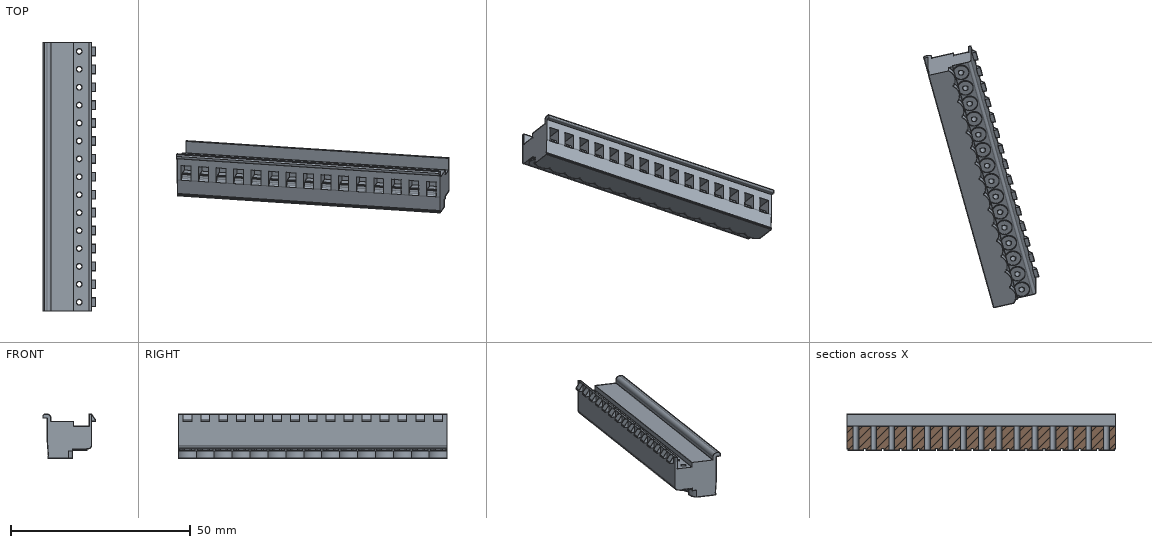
import cadquery as cq
import math

length = 75.0
height = 12.4
poles = 15
pitch = length / poles

lip_x = 1.35
lip_chamfer_width = 0.1
lip_chamfer_height = 0.2
lip_straight_top_z = 0.45
lip_height = 0.7
taper_bottom_x = 1.5
taper_top_z = 4.7
left_wall_x = 1.2
hook_thickness = 1.1
hook_right_x = 2.25
hook_top_chamfer = 0.4
hook_bottom_radius = 0.2
upper_ledge_z = 10.35
ledge_step_x = 8.55
lower_ledge_z = 9.0
right_wall_inner_x = 12.9
right_wall_outer_x = 13.6
underside_z = 2.7
underside_corner_radius = 0.9
foot_front_x = 8.3
hook_bottom_z = height - hook_thickness
hook_arc_start_x = hook_right_x - hook_thickness

scallop_top_z = 2.0
scallop_depth = 1.1
scallop_valley_x = foot_front_x - scallop_depth

hole_x = 10.1
hole_diameter = 1.5
boss_diameter = 4.35
boss_bottom_z = 2.25

latch_tip_x = 14.7
latch_width = 2.5
latch_bottom_z = 10.35
latch_tip_z = 10.7

window_width = 2.8
window_top_z = 9.0
window_depth = 4.5
sill_depth = 0.7
sill_angle = 26.0
curve_end_depth = 1.0
curve_top_z = 5.4
ramp_end_depth = 1.1
ramp_top_z = 6.1
step_depth = 1.8
step_top_z = 6.3
mouth_clearance = 0.75
mouth_x = left_wall_x - mouth_clearance


def pole_positions():
    return [-length / 2 + pitch * (i + 0.5) for i in range(poles)]


def prism(outline, y_center, width):
    """Extrude a closed XZ outline along Y, centred on y_center."""
    solid = outline.extrude(width / 2, both=True)
    return solid.translate((0, y_center, 0))


def make_body():
    """Constant cross-section: foot, left wall with hook, ledges and right wall."""
    outline = (
        cq.Workplane("XZ")
        .moveTo(lip_x + lip_chamfer_width, 0)
        .lineTo(lip_x, lip_chamfer_height)
        .lineTo(lip_x, lip_straight_top_z)
        .lineTo(taper_bottom_x, lip_height)
        .lineTo(left_wall_x, taper_top_z)
        .lineTo(left_wall_x, hook_bottom_z)
        .lineTo(hook_bottom_radius, hook_bottom_z)
        .radiusArc((0, hook_bottom_z + hook_bottom_radius), hook_bottom_radius)
        .lineTo(0, height - hook_top_chamfer)
        .lineTo(hook_top_chamfer, height)
        .lineTo(hook_arc_start_x, height)
        .radiusArc((hook_right_x, hook_bottom_z), hook_thickness)
        .lineTo(hook_right_x, upper_ledge_z)
        .lineTo(ledge_step_x, upper_ledge_z)
        .lineTo(ledge_step_x, lower_ledge_z)
        .lineTo(right_wall_inner_x, lower_ledge_z)
        .lineTo(right_wall_inner_x, height)
        .lineTo(right_wall_outer_x, height)
        .lineTo(right_wall_outer_x, underside_z + underside_corner_radius)
        .radiusArc((right_wall_outer_x - underside_corner_radius, underside_z), underside_corner_radius)
        .lineTo(foot_front_x, underside_z)
        .lineTo(foot_front_x, scallop_top_z)
        .lineTo(scallop_valley_x, scallop_top_z)
        .lineTo(scallop_valley_x, 0)
        .close()
    )
    return prism(outline, 0, length)


def make_scallop(y):
    """Rounded bulge of the foot below one pole."""
    return (
        cq.Workplane("XY")
        .moveTo(scallop_valley_x, y - pitch / 2)
        .threePointArc((foot_front_x, y), (scallop_valley_x, y + pitch / 2))
        .close()
        .extrude(scallop_top_z)
    )


def make_boss(y):
    base = cq.Workplane("XY", origin=(hole_x, y, boss_bottom_z))
    return base.circle(boss_diameter / 2).extrude(underside_z - boss_bottom_z)


def make_latch(y):
    corners = [
        (right_wall_inner_x, height),
        (right_wall_outer_x, height),
        (latch_tip_x, latch_tip_z),
        (latch_tip_x, latch_bottom_z),
        (right_wall_inner_x, latch_bottom_z),
    ]
    outline = cq.Workplane("XZ").polyline(corners).close()
    return prism(outline, y, latch_width)


def make_hole(y):
    return cq.Workplane("XY", origin=(hole_x, y, 0)).circle(hole_diameter / 2).extrude(height)


def make_window(y):
    """Opening with a sloped sill that curves up into a ramp and a small step."""
    sill_slope = math.radians(sill_angle)
    sill_top_z = taper_top_z + sill_depth * math.tan(sill_slope)
    outline = (
        cq.Workplane("XZ")
        .moveTo(mouth_x, taper_top_z)
        .lineTo(left_wall_x, taper_top_z)
        .lineTo(left_wall_x + sill_depth, sill_top_z)
        .tangentArcPoint((left_wall_x + curve_end_depth, curve_top_z), relative=False)
        .lineTo(left_wall_x + ramp_end_depth, ramp_top_z)
        .lineTo(left_wall_x + step_depth, ramp_top_z)
        .lineTo(left_wall_x + step_depth, step_top_z)
        .lineTo(left_wall_x + window_depth, step_top_z)
        .lineTo(left_wall_x + window_depth, window_top_z)
        .lineTo(mouth_x, window_top_z)
        .close()
    )
    return prism(outline, y, window_width)


result = make_body()
for y in pole_positions():
    result = result.union(make_scallop(y)).union(make_boss(y)).union(make_latch(y))
    result = result.cut(make_hole(y)).cut(make_window(y))